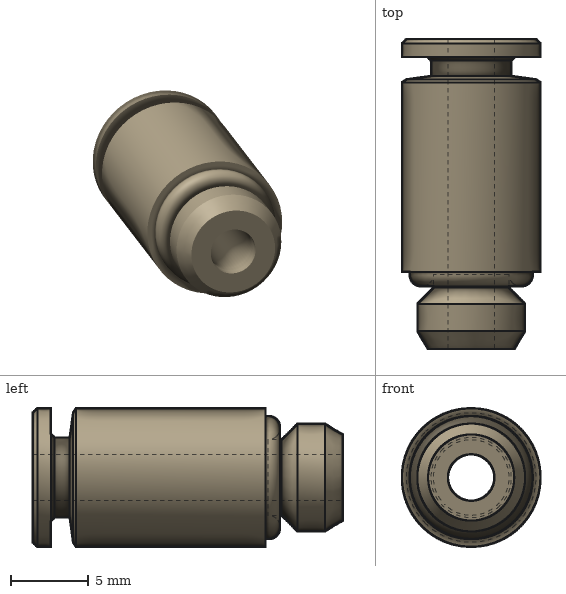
import cadquery as cq
import math

length = 20.1
body_radius = 9.0 / 2
bore_radius = 3.0 / 2

tip_face_radius = 2.8
tip_radius = 7.0 / 2
tip_taper_length = 1.17
tip_shoulder = 2.93
neck_radius = 4.9 / 2
neck_start = tip_shoulder + (tip_radius - neck_radius)

seal_outer_radius = 4.0
seal_section_radius = (seal_outer_radius - neck_radius) / 2
seal_center_radius = neck_radius + seal_section_radius
seal_front = 4.06
seal_center = seal_front + seal_section_radius

body_start = 5.0
seal_exit_radius = seal_center_radius + math.sqrt(seal_section_radius**2 - (body_start - seal_center) ** 2)
body_bevel_start = 17.29
body_bevel_end = 17.49
body_bevel_radius = 4.2
body_end = 17.7

groove_radius = 5.2 / 2
groove_chamfer = 0.22

cap_thickness = 1.19
cap_chamfer = 0.3
cap_start = length - cap_thickness


def turned_body():
    """Revolve the half outline (radius, station) around the Y axis."""
    outline = (
        cq.Workplane("XY")
        .moveTo(bore_radius, 0)
        .lineTo(tip_face_radius, 0)
        .lineTo(tip_radius, tip_taper_length)
        .lineTo(tip_radius, tip_shoulder)
        .lineTo(neck_radius, neck_start)
        .lineTo(neck_radius, seal_center)
        .threePointArc((seal_center_radius, seal_front), (seal_exit_radius, body_start))
        .lineTo(body_radius, body_start)
        .lineTo(body_radius, body_bevel_start)
        .lineTo(body_bevel_radius, body_bevel_end)
        .lineTo(groove_radius, body_end)
        .lineTo(groove_radius, cap_start - groove_chamfer)
        .lineTo(groove_radius + groove_chamfer, cap_start)
        .lineTo(body_radius, cap_start)
        .lineTo(body_radius, length - cap_chamfer)
        .lineTo(body_radius - cap_chamfer, length)
        .lineTo(bore_radius, length)
        .close()
    )
    return outline.revolve(360, (0, 0, 0), (0, 1, 0))


result = turned_body()